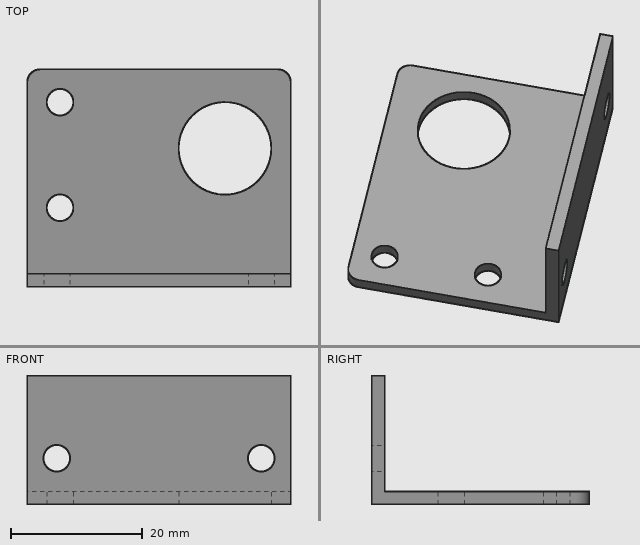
import cadquery as cq

width = 40.0
depth = 33.0
height = 19.5
thickness = 2.0
corner_radius = 2.0

screw_diameter = 4.0

upright_hole_spacing = 31.0
upright_hole_height = 7.0

base_hole_inset = 5.0
base_hole_spacing = 16.0
opening_diameter = 14.0
opening_x = 30.0
opening_back_inset = 12.0


def make_base():
    """Horizontal leg with its two back corners rounded."""
    plate = cq.Workplane("XY").box(width, depth, thickness, centered=False)
    return plate.edges("|Z and >Y").fillet(corner_radius)


def make_upright():
    """Vertical leg along the front edge."""
    return cq.Workplane("XY").box(width, thickness, height, centered=False)


def base_cutters():
    """Vertical cylinders through the base leg."""
    back_hole_y = depth - base_hole_inset
    screw_points = [
        (base_hole_inset, back_hole_y),
        (base_hole_inset, back_hole_y - base_hole_spacing),
    ]
    screws = (
        cq.Workplane("XY")
        .pushPoints(screw_points)
        .circle(screw_diameter / 2)
        .extrude(thickness)
    )
    opening = (
        cq.Workplane("XY")
        .center(opening_x, depth - opening_back_inset)
        .circle(opening_diameter / 2)
        .extrude(thickness)
    )
    return screws.union(opening)


def upright_cutters():
    """Cylinders along Y through the upright leg."""
    screw_points = [
        (width / 2 + side * upright_hole_spacing / 2, upright_hole_height)
        for side in (-1, 1)
    ]
    return (
        cq.Workplane("XZ")
        .pushPoints(screw_points)
        .circle(screw_diameter / 2)
        .extrude(-thickness)
    )


bracket = make_base().union(make_upright())
result = bracket.cut(base_cutters()).cut(upright_cutters())